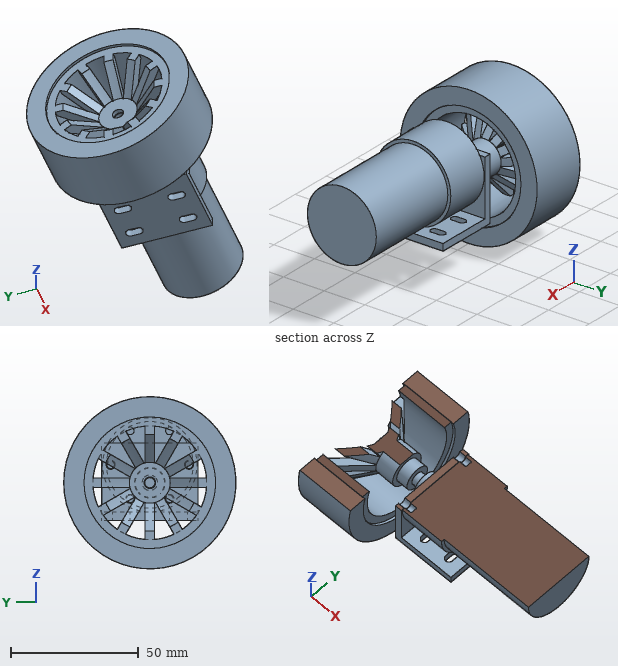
import cadquery as cq
import math


TYRE_WIDTH = 27.7
TYRE_DIAMETER = 67.5
RIM_DIAMETER = 51.5

RIM_RECESS = 1.2
RIM_BORE_DIAMETER = 44.5
HUB_DIAMETER = 16.0
HUB_FACE_X = 12.1
HUB_WEB = 2.0
HUB_BORE_DIAMETER = 4.5
SPOKE_COUNT = 12
SPOKE_WIDTH = 3.8
SPOKE_THICKNESS = 5.3
SPOKE_BEND_RADIUS = 19.0
RIM_OVERLAP = 1.1

COUPLING_DIAMETER = 11.5
COUPLING_BORE_DIAMETER = 4.0
COUPLING_END_X = 32.1

SHAFT_DIAMETER = 6.0
SHAFT_INSERTION = 11.0
BOSS_DIAMETER = 12.0
BOSS_FACE_X = 36.2
MOTOR_AXIS_Z = 7.0
GEARBOX_FACE_X = 42.0
GEARBOX_LENGTH = 21.5
GEARBOX_DIAMETER = 37.0
MOTOR_DIAMETER = 34.0
MOTOR_END_X = 109.6
SCREW_COUNT = 6
SCREW_CIRCLE_RADIUS = 15.4
SCREW_HOLE_DIAMETER = 3.0
SCREW_HOLE_DEPTH = 3.3

BRACKET_LEG = 30.5
BRACKET_THICKNESS = 3.4
BRACKET_WIDTH = 37.8
BRACKET_HOLE_DIAMETER = 3.5
SLOT_WIDTH = 3.5
SLOT_LENGTH = 7.0
SLOT_CENTRE_Y = 11.2
SLOT_SPACING_X = 13.3

shaft_tip_x = COUPLING_END_X - SHAFT_INSERTION
bracket_face_x = GEARBOX_FACE_X - BRACKET_THICKNESS
floor_top_z = MOTOR_AXIS_Z - GEARBOX_DIAMETER / 2


def cylinder(diameter, start_x, end_x, y=0.0, z=0.0):
    """Solid cylinder parallel to the X axis."""
    return (
        cq.Workplane("YZ", origin=(start_x, y, z))
        .circle(diameter / 2)
        .extrude(end_x - start_x)
    )


def screw_places():
    """(y, z) places of the screws around the motor axis."""
    places = []
    for index in range(SCREW_COUNT):
        angle = index * 2 * math.pi / SCREW_COUNT
        y = SCREW_CIRCLE_RADIUS * math.cos(angle)
        z = MOTOR_AXIS_Z + SCREW_CIRCLE_RADIUS * math.sin(angle)
        places.append((y, z))
    return places


def make_tyre():
    return cylinder(TYRE_DIAMETER, 0, TYRE_WIDTH).cut(cylinder(RIM_DIAMETER, 0, TYRE_WIDTH))


def make_spoke_ring():
    """Dished ring that holds all the spokes: flat in front at the rim, conical to the hub."""
    hub_radius = HUB_DIAMETER / 2
    outer_radius = RIM_BORE_DIAMETER / 2 + RIM_OVERLAP
    cone_slope = (HUB_FACE_X - RIM_RECESS) / (SPOKE_BEND_RADIUS - hub_radius)
    hub_back_x = HUB_FACE_X + SPOKE_THICKNESS
    outer_back_x = hub_back_x - cone_slope * (outer_radius - hub_radius)
    profile = [
        (HUB_FACE_X, 0),
        (HUB_FACE_X, hub_radius),
        (RIM_RECESS, SPOKE_BEND_RADIUS),
        (RIM_RECESS, outer_radius),
        (outer_back_x, outer_radius),
        (hub_back_x, hub_radius),
        (hub_back_x, 0),
    ]
    return cq.Workplane("XY").polyline(profile).close().revolve(360, (0, 0, 0), (1, 0, 0))


def make_wheel():
    rim_back_x = TYRE_WIDTH - RIM_RECESS
    rim = cylinder(RIM_DIAMETER, RIM_RECESS, rim_back_x)
    rim = rim.cut(cylinder(RIM_BORE_DIAMETER, RIM_RECESS, rim_back_x))

    bars = cq.Workplane("XY")
    bar_length = RIM_BORE_DIAMETER + RIM_OVERLAP
    for index in range(SPOKE_COUNT // 2):
        bar = cq.Workplane("XY").box(2 * TYRE_WIDTH, SPOKE_WIDTH, bar_length)
        bars = bars.add(bar.rotate((0, 0, 0), (1, 0, 0), index * 360 / SPOKE_COUNT))
    spokes = make_spoke_ring().intersect(bars.combine())

    wheel = rim.union(spokes).union(cylinder(HUB_DIAMETER, HUB_FACE_X, rim_back_x))
    wheel = wheel.cut(cylinder(HUB_BORE_DIAMETER, HUB_FACE_X, rim_back_x))
    return wheel.cut(cylinder(COUPLING_DIAMETER, HUB_FACE_X + HUB_WEB, rim_back_x))


def make_coupling():
    start_x = HUB_FACE_X + HUB_WEB
    coupling = cylinder(COUPLING_DIAMETER, start_x, COUPLING_END_X)
    coupling = coupling.cut(cylinder(COUPLING_BORE_DIAMETER, start_x, COUPLING_END_X))
    return coupling.cut(cylinder(SHAFT_DIAMETER, shaft_tip_x, COUPLING_END_X))


def make_bracket():
    outline = [
        (bracket_face_x, floor_top_z - BRACKET_THICKNESS),
        (bracket_face_x + BRACKET_LEG, floor_top_z - BRACKET_THICKNESS),
        (bracket_face_x + BRACKET_LEG, floor_top_z),
        (GEARBOX_FACE_X, floor_top_z),
        (GEARBOX_FACE_X, floor_top_z - BRACKET_THICKNESS + BRACKET_LEG),
        (bracket_face_x, floor_top_z - BRACKET_THICKNESS + BRACKET_LEG),
    ]
    bracket = cq.Workplane("XZ").polyline(outline).close().extrude(BRACKET_WIDTH / 2, both=True)
    bracket = bracket.cut(cylinder(BOSS_DIAMETER, bracket_face_x, GEARBOX_FACE_X))

    for y, z in screw_places():
        bracket = bracket.cut(cylinder(BRACKET_HOLE_DIAMETER, bracket_face_x, GEARBOX_FACE_X, y, z))

    slot_middle_x = (GEARBOX_FACE_X + bracket_face_x + BRACKET_LEG) / 2
    slots = (
        cq.Workplane("XY", origin=(slot_middle_x, 0, floor_top_z))
        .rarray(SLOT_SPACING_X, 2 * SLOT_CENTRE_Y, 2, 2)
        .slot2D(SLOT_LENGTH, SLOT_WIDTH, 90)
        .extrude(-BRACKET_THICKNESS)
    )
    return bracket.cut(slots)


def make_gear_motor():
    gearbox_end_x = GEARBOX_FACE_X + GEARBOX_LENGTH
    motor = cylinder(GEARBOX_DIAMETER, GEARBOX_FACE_X, gearbox_end_x, z=MOTOR_AXIS_Z)
    motor = motor.union(cylinder(MOTOR_DIAMETER, gearbox_end_x, MOTOR_END_X, z=MOTOR_AXIS_Z))
    motor = motor.union(cylinder(BOSS_DIAMETER, BOSS_FACE_X, GEARBOX_FACE_X))
    motor = motor.union(cylinder(SHAFT_DIAMETER, shaft_tip_x, BOSS_FACE_X))
    hole_end_x = GEARBOX_FACE_X + SCREW_HOLE_DEPTH
    for y, z in screw_places():
        motor = motor.cut(cylinder(SCREW_HOLE_DIAMETER, GEARBOX_FACE_X, hole_end_x, y, z))
    return motor


tyre = make_tyre()
wheel = make_wheel()
coupling = make_coupling()
bracket = make_bracket()
gear_motor = make_gear_motor()

result = cq.Compound.makeCompound(
    [tyre.val(), wheel.val(), coupling.val(), bracket.val(), gear_motor.val()]
)